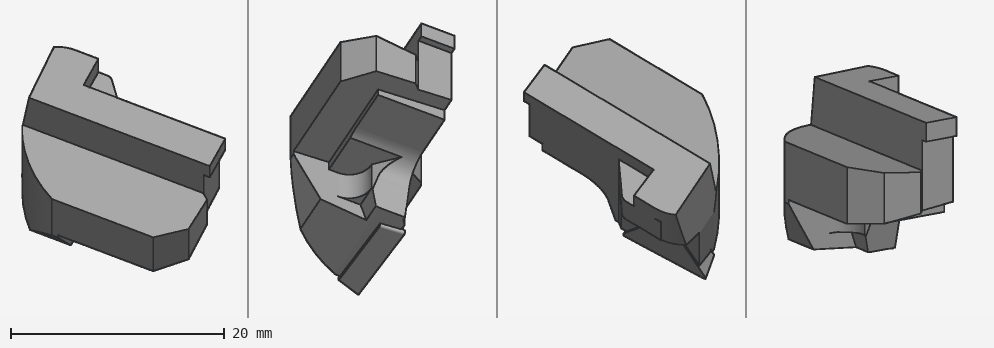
import cadquery as cq
import math

length = 20.65
height = 15.8
depth = 14.0
margin = 2.06

rail_front = 7.23
rail_back = 10.7
block_length = 6.03
block_corner_radius = 4.09
block_left = -0.43
block_underside_back = 9.93
block_underside_front = 8.47
ledge_top = 13.63
ledge_tip = 7.33
ledge_end = 9.95
ledge_fillet = 0.83

arc_start = (0.97, 8.07)
arc_middle = (3.45, 3.61)
arc_end = (7.7, 0.0)
end_chamfer = 2.5
front_top = 12.04
rear_top = 10.99
leg_front_bottom = 6.11
leg_slope_end = (2.83, 1.2)
leg_bottom = 0.6
back_ridge = (9.4, 11.1)

side_x = 0.97
side_break = 8.32
side_top_x = 1.95
side_turn = 2.9

overhang_bottom = 6.05
overhang_end = 18.58
front_bottom = 6.5
step_depth = 3.72
bottom_rise = 0.083
leg_foot_x = 10.32
leg_arc_start = (11.09, 3.6)
leg_arc_middle = (11.98, 5.27)
leg_arc_end_x = 13.98

recess_left = 8.35
recess_right = 10.72
recess_depth = 7.02
recess_top = 5.8
recess_taper_height = 2.5
recess_taper_depth = 0.83

notch_width = 0.62
notch_top = 13.95

insert_width = 9.02
insert_radius = 0.25
insert_thickness = 2.4
insert_clearance = 7.0
insert_turn = 2.9
insert_tilt = 0.8
insert_corner_y = 10.92


def prism_xy(sketch, bottom, top):
    return sketch.extrude(top - bottom).translate((0, 0, bottom))


def prism_xz(points, front, back):
    outline = cq.Workplane("XZ").polyline(points).close()
    return outline.extrude(front - back).translate((0, front, 0))


def prism_yz(points, left, right):
    outline = cq.Workplane("YZ").polyline(points).close()
    return outline.extrude(right - left).translate((left, 0, 0))


def make_envelope():
    """Full-height outline that rounds the front left of the holder."""
    plan = (
        cq.Workplane("XY")
        .moveTo(block_left, depth)
        .lineTo(block_left, arc_start[1])
        .lineTo(*arc_start)
        .threePointArc(arc_middle, arc_end)
        .lineTo(length - end_chamfer, 0)
        .lineTo(length, end_chamfer)
        .lineTo(length, depth)
        .close()
    )
    return plan.extrude(height)


def make_lower_body():
    plan = cq.Workplane("XY").polyline(
        [(block_left, 0), (length, 0), (length, rail_back), (ledge_end, rail_back),
         back_ridge, (block_left, rail_back)]
    ).close()
    profile = [
        (0, leg_front_bottom),
        leg_slope_end,
        (arc_start[1], leg_bottom),
        (depth, leg_bottom),
        (depth, rear_top),
        (rail_front, rear_top),
        (0, front_top),
    ]
    return prism_xy(plan, 0, height).intersect(prism_yz(profile, block_left, length))


def make_rail():
    rail_depth = rail_back - rail_front
    rail = cq.Workplane("XY").box(length - block_left, rail_depth, height - side_break, centered=False)
    return rail.translate((block_left, rail_front, side_break))


def make_block():
    block_depth = depth - rail_front
    block = (
        cq.Workplane("XY")
        .box(block_length - block_left, block_depth, height, centered=False)
        .translate((block_left, rail_front, 0))
        .edges("|Z and <X and >Y")
        .fillet(block_corner_radius)
    )
    ledge_plan = cq.Workplane("XY").polyline(
        [(block_length / 2, rail_front), (ledge_end, rail_front), (ledge_end, rail_back),
         (ledge_tip, depth), (block_length / 2, depth)]
    ).close()
    ledge = prism_xy(ledge_plan, 0, ledge_top).edges("|Z and >Y and (not <X)").fillet(ledge_fillet)
    profile = [
        (rail_front, block_underside_front),
        (rail_back, block_underside_front),
        (depth, block_underside_back),
        (depth, height),
        (rail_front, height),
    ]
    return block.union(ledge).intersect(prism_yz(profile, block_left, length))


def make_side_cutter():
    points = [
        (-length, -margin),
        (side_x, -margin),
        (side_x, side_break),
        (side_top_x, height),
        (side_top_x, height + margin),
        (-length, height + margin),
    ]
    cutter = prism_xz(points, -depth, 2 * depth)
    pivot = (side_x, arc_start[1], 0)
    return cutter.rotate(pivot, (pivot[0], pivot[1], 1), side_turn)


def make_overhang_cutter():
    foot_end = leg_arc_start[1] * (leg_arc_start[0] - leg_foot_x) / (leg_arc_start[1] - leg_bottom)
    profile = (
        cq.Workplane("XZ")
        .moveTo(leg_arc_start[0] - foot_end, 0)
        .lineTo(*leg_arc_start)
        .threePointArc(leg_arc_middle, (leg_arc_end_x, overhang_bottom))
        .lineTo(length + margin, overhang_bottom)
        .lineTo(length + margin, 0)
        .close()
    )
    return profile.extrude(-depth)


def make_bottom_step_cutter(left, back):
    """Wedge that leaves a bottom face rising towards the back."""
    points = [(0, 0), (back, 0), (back, front_bottom + bottom_rise * back), (0, front_bottom)]
    return prism_yz(points, left, length + margin)


def make_recess_cutter():
    radius = recess_right - recess_left
    diagonal = radius * math.sqrt(0.5)
    arc_start_y = recess_depth - radius
    recess_plan = (
        cq.Workplane("XY")
        .moveTo(recess_left, -margin)
        .lineTo(recess_left, arc_start_y)
        .threePointArc((recess_right - diagonal, arc_start_y + diagonal), (recess_right, recess_depth))
        .lineTo(recess_right + depth - recess_depth, depth)
        .lineTo(length, depth)
        .lineTo(length, -margin)
        .close()
    )
    recess = prism_xy(recess_plan, 0, recess_top)
    taper = prism_yz(
        [(0, 0), (recess_depth + recess_taper_depth, 0), (recess_depth, recess_taper_height),
         (0, recess_taper_height)],
        recess_left,
        length,
    )
    return recess.union(taper)


def make_notch_cutter():
    notch_plan = cq.Workplane("XY").polyline(
        [(length - notch_width, rail_front), (length, rail_front - notch_width),
         (length, depth), (length - notch_width, depth)]
    ).close()
    return prism_xy(notch_plan, 0, notch_top)


def insert_outline(y, inset):
    """Rounded equilateral triangle, drawn in on every side by the inset."""
    base_z = insert_radius + inset
    core_side = insert_width - 2 * insert_radius - 2 * math.sqrt(3) * inset
    core_left = (insert_width - core_side) / 2
    core = cq.Workplane("XZ", origin=(0, y, 0)).polyline(
        [(core_left, base_z),
         (core_left + core_side, base_z),
         (insert_width / 2, base_z + core_side * math.sqrt(3) / 2)]
    ).close()
    return core.offset2D(insert_radius).val()


def make_insert():
    inset = insert_thickness * math.tan(math.radians(insert_clearance))
    rake_outline = insert_outline(0, 0)
    seat_outline = insert_outline(-insert_thickness, inset)
    insert = cq.Workplane(cq.Solid.makeLoft([rake_outline, seat_outline], True))
    insert = insert.rotate((0, 0, 0), (0, 0, 1), insert_turn).rotate((0, 0, 0), (1, 0, 0), insert_tilt)
    return insert.translate((0, insert_corner_y, 0))


insert = make_insert()

holder = (
    make_lower_body()
    .union(make_rail())
    .union(make_block())
    .intersect(make_envelope())
    .cut(make_side_cutter())
    .cut(make_overhang_cutter())
    .cut(make_bottom_step_cutter(recess_left, step_depth))
    .cut(make_bottom_step_cutter(overhang_end, depth))
    .cut(make_recess_cutter())
    .cut(make_notch_cutter())
    .cut(insert)
)

result = cq.Compound.makeCompound([holder.solids().val(), insert.val()])